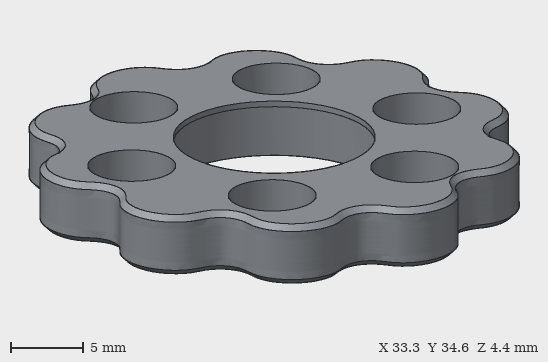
import cadquery as cq
import math

thickness = 4.4
lobe_count = 10
tip_radius = 17.28
eccentricity = 1.17
roller_radius = 1.85
rim_chamfer = 0.4
points_per_lobe = 24

pin_hole_count = 6
pin_circle_radius = 11.3
pin_hole_radius = roller_radius + eccentricity

lip_radius = 6.98
lip_thickness = 0.4
bearing_radius = 7.95

ring_roller_count = lobe_count + 1
ring_radius = tip_radius + roller_radius - eccentricity


def cycloid_point(angle):
    """Point of the lobed outline: the roller-centre curve moved inward by the roller radius."""
    fast_angle = ring_roller_count * angle
    centre_x = ring_radius * math.cos(angle) + eccentricity * math.cos(fast_angle)
    centre_y = ring_radius * math.sin(angle) + eccentricity * math.sin(fast_angle)
    normal_x = ring_radius * math.cos(angle) + ring_roller_count * eccentricity * math.cos(fast_angle)
    normal_y = ring_radius * math.sin(angle) + ring_roller_count * eccentricity * math.sin(fast_angle)
    inset = roller_radius / math.hypot(normal_x, normal_y)
    return (centre_x - inset * normal_x, centre_y - inset * normal_y)


def lobed_disc():
    """Chamfered disc with one lobe tip pointing along +Y."""
    point_count = lobe_count * points_per_lobe
    outline = [cycloid_point(2 * math.pi * i / point_count) for i in range(point_count)]
    disc = cq.Workplane("XY").spline(outline, periodic=True).close().extrude(thickness)
    disc = disc.faces("<Z or >Z").edges().chamfer(rim_chamfer)
    return disc.rotate((0, 0, 0), (0, 0, 1), 90)


def pin_holes():
    return (
        cq.Workplane("XY")
        .polarArray(pin_circle_radius, 0, 360, pin_hole_count)
        .circle(pin_hole_radius)
        .extrude(thickness)
    )


def bearing_bore():
    through_bore = cq.Workplane("XY").circle(lip_radius).extrude(thickness)
    seat = cq.Workplane("XY").circle(bearing_radius).extrude(thickness - lip_thickness)
    return through_bore.union(seat)


result = lobed_disc().cut(pin_holes()).cut(bearing_bore())